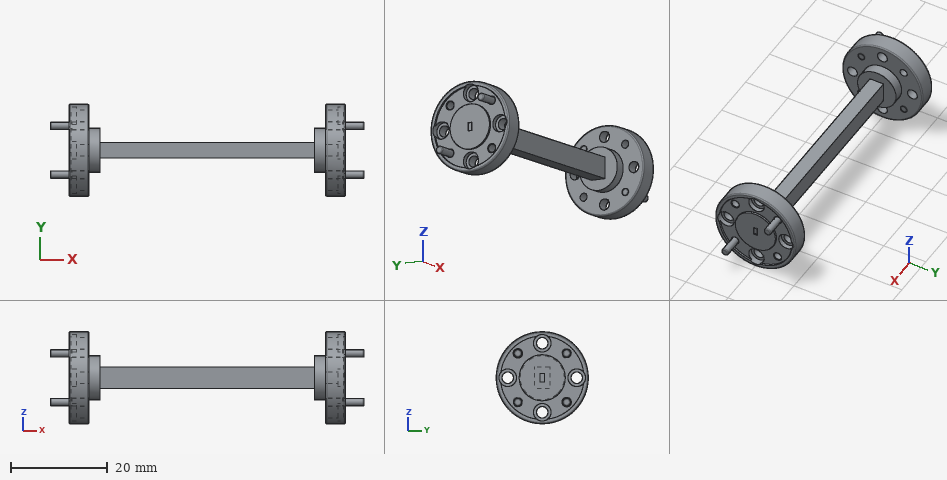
import cadquery as cq
import math

overall_length = 64.9
face_span = 57.2
flange_diameter = 19.1
flange_thickness = 4.1
rim_fillet = 0.25

collar_diameter = 9.15
collar_length = 2.35
tube_width = 3.25
tube_height = 4.55

land_diameter = 9.55
rim_inner_diameter = 17.25
groove_depth = 0.45

opening_width = 0.85
opening_height = 1.7
opening_depth = 0.25

bolt_circle_radius = 7.15
bolt_hole_diameter = 2.35
counterbore_diameter = 3.65
counterbore_depth = 1.55
alignment_hole_diameter = 1.7
hole_chamfer = 0.1
pin_diameter = 1.55
pin_fillet = 0.2

face_x = face_span / 2
groove_floor_x = face_x - groove_depth
flange_back_x = face_x - flange_thickness
collar_back_x = flange_back_x - collar_length
pin_tip_x = overall_length / 2

BOLT_ANGLES = [0, 90, 180, 270]
PIN_ANGLES = [45, 225]
ALIGNMENT_HOLE_ANGLES = [135, 315]


def on_bolt_circle(angles):
    """Points (Y, Z) on the bolt circle, with angles measured from +Y towards +Z."""
    return [
        (
            bolt_circle_radius * math.cos(math.radians(angle)),
            bolt_circle_radius * math.sin(math.radians(angle)),
        )
        for angle in angles
    ]


def plane_at(x):
    """Sketch plane across the X axis, whose local axes are Y and Z."""
    return cq.Workplane("YZ", origin=(x, 0, 0))


def turned_to_left_end(shape):
    """Copy of a right-end shape, turned half a turn about Z to the left end."""
    return shape.rotate((0, 0, 0), (0, 0, 1), 180)


def make_relief_groove():
    """Ring removed from the mating face; the bolt counterbores cut through its outer edge."""
    return (
        plane_at(face_x)
        .circle(rim_inner_diameter / 2)
        .circle(land_diameter / 2)
        .extrude(-groove_depth)
    )


def make_through_holes(angles, diameter):
    return (
        plane_at(flange_back_x)
        .pushPoints(on_bolt_circle(angles))
        .circle(diameter / 2)
        .extrude(flange_thickness)
    )


def make_hole_chamfers(angles, diameter):
    """Cones that break the edges of holes at the groove floor."""
    return (
        plane_at(groove_floor_x - hole_chamfer)
        .pushPoints(on_bolt_circle(angles))
        .circle(diameter / 2)
        .extrude(hole_chamfer, taper=-45)
    )


def make_counterbores():
    return (
        plane_at(face_x)
        .pushPoints(on_bolt_circle(BOLT_ANGLES))
        .circle(counterbore_diameter / 2)
        .extrude(-counterbore_depth)
    )


def make_opening():
    return plane_at(face_x).rect(opening_width, opening_height).extrude(-opening_depth)


def make_flange():
    """Right-end flange with its collar, holes and mating-face details."""
    disc = (
        plane_at(flange_back_x)
        .circle(flange_diameter / 2)
        .extrude(flange_thickness)
        .edges()
        .fillet(rim_fillet)
    )
    collar = plane_at(collar_back_x).circle(collar_diameter / 2).extrude(collar_length)
    return (
        disc.union(collar)
        .cut(make_relief_groove())
        .cut(make_counterbores())
        .cut(make_through_holes(BOLT_ANGLES, bolt_hole_diameter))
        .cut(make_through_holes(ALIGNMENT_HOLE_ANGLES, alignment_hole_diameter))
        .cut(make_through_holes(PIN_ANGLES, pin_diameter))
        .cut(make_hole_chamfers(ALIGNMENT_HOLE_ANGLES, alignment_hole_diameter))
        .cut(make_hole_chamfers(PIN_ANGLES, pin_diameter))
        .cut(make_opening())
    )


def make_waveguide():
    """One-piece body: a flange at each end of the rectangular tube."""
    tube = plane_at(-collar_back_x).rect(tube_width, tube_height).extrude(2 * collar_back_x)
    flange = make_flange()
    return tube.union(flange).union(turned_to_left_end(flange))


def make_pin(position):
    """Right-end dowel pin, flush with the back of the flange and rounded at both ends."""
    return (
        plane_at(flange_back_x)
        .pushPoints([position])
        .circle(pin_diameter / 2)
        .extrude(pin_tip_x - flange_back_x)
        .faces("<X or >X")
        .fillet(pin_fillet)
    )


waveguide = make_waveguide()

pins = []
for position in on_bolt_circle(PIN_ANGLES):
    right_pin = make_pin(position)
    pins.append(right_pin.val())
    pins.append(turned_to_left_end(right_pin).val())

result = cq.Compound.makeCompound([waveguide.val(), *pins])